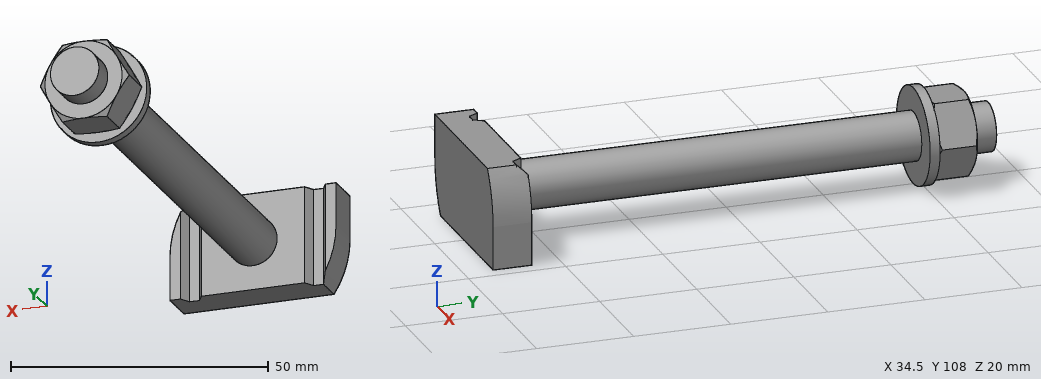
import cadquery as cq
import math

bolt_length = 108.0
shank_diameter = 10.0

head_width = 34.5
head_height = 20.0
head_thickness = 8.0
corner_radius = head_height
arc_start_offset = 1.1

groove_offset = 12.9
groove_top_width = 4.3
groove_floor_width = 2.0
groove_depth = 2.0

washer_diameter = 20.0
washer_thickness = 2.0
nut_across_flats = 16.0
nut_thickness = 8.4
nut_chamfer_angle = 30.0
thread_protrusion = 5.0

head_front = -bolt_length / 2
head_back = head_front + head_thickness
bolt_end = bolt_length / 2
nut_back = bolt_end - thread_protrusion
nut_front = nut_back - nut_thickness
washer_front = nut_front - washer_thickness


def prism_along_y(sketch, y_start, length):
    """Extrude an outline drawn in X-Z toward +Y, starting at y_start."""
    return sketch.extrude(-length).translate((0, y_start, 0))


def rod(diameter, y_start, length):
    return prism_along_y(cq.Workplane("XZ").circle(diameter / 2), y_start, length)


def make_head_blank():
    half_width = head_width / 2
    half_height = head_height / 2
    arc_height = half_height + arc_start_offset
    arc_angle = math.asin(arc_height / corner_radius)

    def arc_inset(angle):
        return corner_radius * (1 - math.cos(angle))

    tip_x = half_width - arc_inset(arc_angle)
    mid_x = half_width - arc_inset(arc_angle / 2)
    mid_z = corner_radius * math.sin(arc_angle / 2) - arc_start_offset
    outline = (
        cq.Workplane("XZ")
        .moveTo(-half_width, half_height)
        .lineTo(tip_x, half_height)
        .threePointArc((mid_x, mid_z), (half_width, -arc_start_offset))
        .lineTo(half_width, -half_height)
        .lineTo(-tip_x, -half_height)
        .threePointArc((-mid_x, -mid_z), (-half_width, arc_start_offset))
        .close()
    )
    return prism_along_y(outline, head_front, head_thickness)


def make_groove(x_center):
    floor = head_back - groove_depth
    return (
        cq.Workplane("XY")
        .polyline([
            (x_center - groove_top_width / 2, head_back),
            (x_center - groove_floor_width / 2, floor),
            (x_center + groove_floor_width / 2, floor),
            (x_center + groove_top_width / 2, head_back),
        ])
        .close()
        .extrude(head_height / 2, both=True)
    )


def make_bolt():
    bolt = make_head_blank()
    for side in (-1, 1):
        bolt = bolt.cut(make_groove(side * groove_offset))
    return bolt.union(rod(shank_diameter, head_back, bolt_length - head_thickness))


def make_washer():
    disc = rod(washer_diameter, washer_front, washer_thickness)
    return disc.cut(rod(shank_diameter, washer_front, washer_thickness))


def make_nut():
    across_corners = nut_across_flats / math.cos(math.pi / 6)
    hex_radius = across_corners / 2
    flat_radius = nut_across_flats / 2
    chamfer_height = (hex_radius - flat_radius) * math.tan(math.radians(nut_chamfer_angle))
    hexagon = prism_along_y(cq.Workplane("XZ").polygon(6, across_corners), nut_front, nut_thickness)
    envelope = (
        cq.Workplane("XY")
        .polyline([
            (0, nut_front),
            (flat_radius, nut_front),
            (hex_radius, nut_front + chamfer_height),
            (hex_radius, nut_back - chamfer_height),
            (flat_radius, nut_back),
            (0, nut_back),
        ])
        .close()
        .revolve(360, (0, 0, 0), (0, 1, 0))
    )
    return hexagon.intersect(envelope).cut(rod(shank_diameter, nut_front, nut_thickness))


bolt = make_bolt()
washer = make_washer()
nut = make_nut()

result = cq.Compound.makeCompound([bolt.val(), washer.val(), nut.val()])